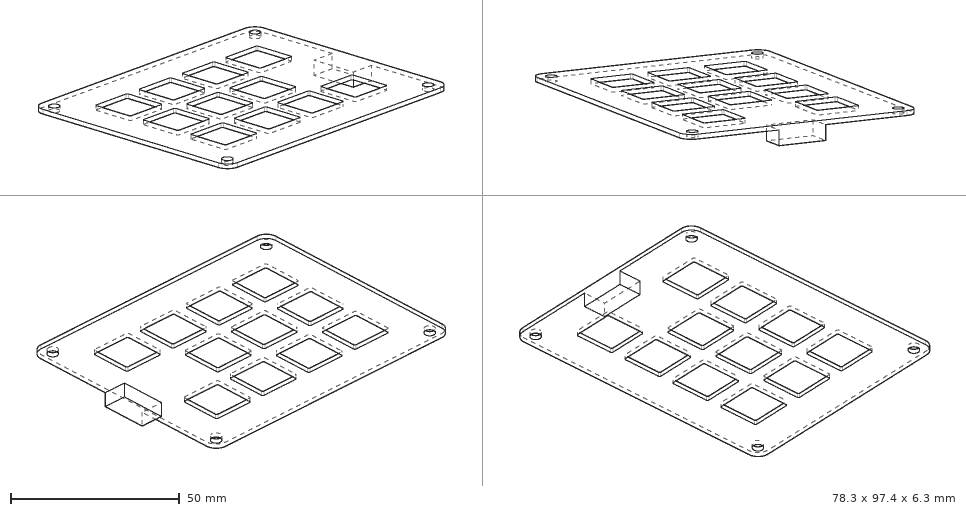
import cadquery as cq

key_pitch = 19.05
key_columns = 3
key_rows = 4
key_opening = 14.0
key_corner_radius = 0.5
blank_key = (1, 3)

grid_margin = 10.58
plate_length_x = key_columns * key_pitch + 2 * grid_margin
plate_length_y = key_rows * key_pitch + 2 * grid_margin
plate_thickness = 1.5
plate_corner_radius = 4.0

hole_diameter = 3.4
hole_inset = 4.5

block_width = 15.7
block_depth = 8.0
block_height = 4.8


def make_plate():
    """Flat plate with rounded corners, centred on the Z axis."""
    return (
        cq.Workplane("XY")
        .rect(plate_length_x, plate_length_y)
        .extrude(plate_thickness)
        .edges("|Z")
        .fillet(plate_corner_radius)
    )


def make_key_openings():
    """Square cutters with rounded corners at every key except the blank one."""
    centres = []
    for column in range(key_columns):
        for row in range(key_rows):
            if (column, row) != blank_key:
                x = (column - (key_columns - 1) / 2) * key_pitch
                y = (row - (key_rows - 1) / 2) * key_pitch
                centres.append((x, y))
    return (
        cq.Workplane("XY")
        .pushPoints(centres)
        .rect(key_opening, key_opening)
        .extrude(plate_thickness)
        .edges("|Z")
        .fillet(key_corner_radius)
    )


def make_mounting_holes():
    """Round cutters at the four plate corners."""
    spacing_x = plate_length_x - 2 * hole_inset
    spacing_y = plate_length_y - 2 * hole_inset
    return (
        cq.Workplane("XY")
        .rect(spacing_x, spacing_y, forConstruction=True)
        .vertices()
        .circle(hole_diameter / 2)
        .extrude(plate_thickness)
    )


def make_block():
    """Rectangular block hanging below the plate, flush with its +Y edge."""
    return (
        cq.Workplane("XY")
        .center(0, (plate_length_y - block_depth) / 2)
        .rect(block_width, block_depth)
        .extrude(-block_height)
    )


result = make_plate().cut(make_key_openings()).cut(make_mounting_holes()).union(make_block())